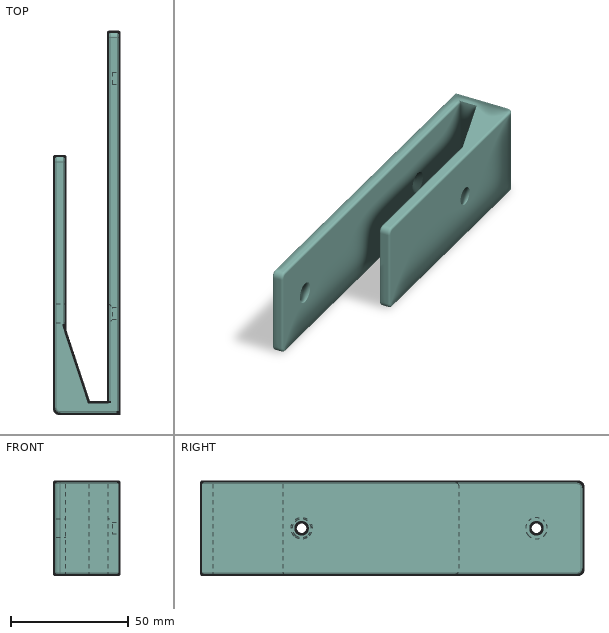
import cadquery as cq
import math

width = 28.0
length = 163.0
height = 40.0

wall = 5.0
front_arm_length = 110.0
tip_radius = 2.6
heel_radius = 2.6
edge_radius = 1.0

ramp_foot_x = 15.0
ramp_top_x = wall - edge_radius
ramp_top_y = 38.0

screw_diameter = 5.0
countersink_diameter = 9.1
countersink_angle = 90
access_diameter = 8.0
screw_hole_y = 42.9
screw_spacing = 100.1

mid_height = height / 2
back_arm_x = width - wall


def arm(start_x, end_y):
    """Upright plate growing from the web, with rounded tip corners and long edges."""
    plate = cq.Workplane("XY").box(wall, end_y - wall, height, centered=False)
    plate = plate.edges("|X and >Y").fillet(tip_radius)
    broad_face_edges = plate.faces("<X or >X").edges("not <Y")
    return broad_face_edges.fillet(edge_radius).translate((start_x, wall, 0))


def web():
    """End block joining the arms, rounded above and below on its outer sides."""
    block = cq.Workplane("XY").box(width, wall, height, centered=False)
    block = block.edges("|Z and <X and <Y").fillet(heel_radius)
    outer_edges = block.faces("<Z or >Z").edges("not >Y")
    return outer_edges.fillet(edge_radius)


def ramp():
    """Full-height wedge between the front arm and the web."""
    outline = [
        (ramp_top_x, wall),
        (ramp_foot_x, wall),
        (ramp_top_x, ramp_top_y),
    ]
    return cq.Workplane("XY").polyline(outline).close().extrude(height)


def screw_hole(y):
    """Countersunk hole through the back arm, entered from the slot."""
    face = cq.Plane(origin=(back_arm_x, y, mid_height), xDir=(0, 1, 0), normal=(1, 0, 0))
    shank = cq.Workplane(face).circle(screw_diameter / 2).extrude(wall)
    cone_depth = (countersink_diameter - screw_diameter) / 2 / math.tan(math.radians(countersink_angle / 2))
    mouth = cq.Workplane(face).circle(countersink_diameter / 2)
    cone = mouth.extrude(cone_depth, taper=countersink_angle / 2)
    return shank.union(cone)


def access_hole():
    """Plain hole through the front arm in line with the lower screw."""
    face = cq.Plane(origin=(0, screw_hole_y, mid_height), xDir=(0, 1, 0), normal=(1, 0, 0))
    return cq.Workplane(face).circle(access_diameter / 2).extrude(back_arm_x)


arms = arm(0, front_arm_length).union(arm(back_arm_x, length))
result = arms.union(web()).union(ramp()).cut(access_hole())
for hole_y in (screw_hole_y, screw_hole_y + screw_spacing):
    result = result.cut(screw_hole(hole_y))